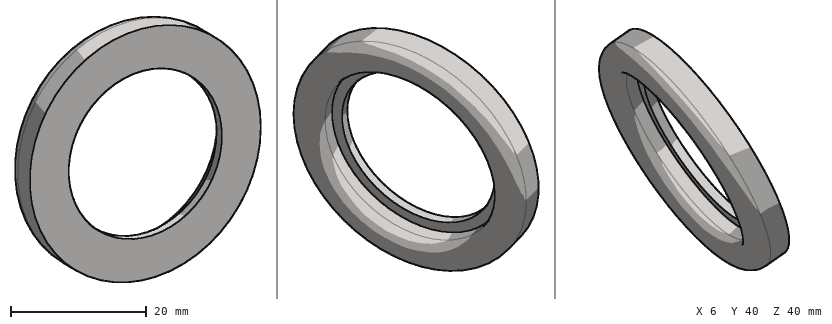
import cadquery as cq

outer_diameter = 40.0
recess_diameter = 30.0
bore_diameter = 26.5
ring_width = 6.0
lip_thickness = 1.5

outer_radius = outer_diameter / 2
recess_radius = recess_diameter / 2
bore_radius = bore_diameter / 2

rim_radius = (outer_radius - recess_radius) / 2
rim_center_radius = (outer_radius + recess_radius) / 2
lip_face_x = ring_width - lip_thickness


def make_ring():
    """Revolve the half section, drawn as (axial, radial) points, about X."""
    section = (
        cq.Workplane("XY")
        .moveTo(rim_radius, recess_radius)
        .threePointArc((0, rim_center_radius), (rim_radius, outer_radius))
        .lineTo(ring_width, outer_radius)
        .lineTo(ring_width, bore_radius)
        .lineTo(lip_face_x, bore_radius)
        .lineTo(lip_face_x, recess_radius)
        .close()
    )
    return section.revolve(360, (0, 0, 0), (1, 0, 0))


result = make_ring()